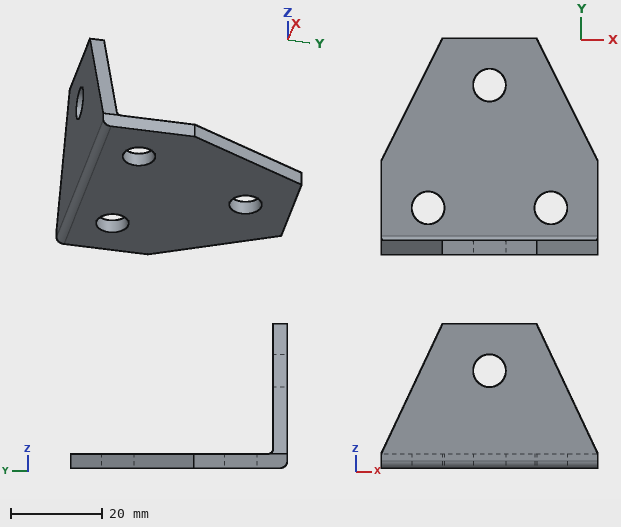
import cadquery as cq

width = 47.65
depth = 47.65
height = 31.75
thickness = 3.2

tip_width = 20.65
base_straight_length = 20.6
upright_taper_start = thickness

outer_bend_radius = 1.65
inner_bend_radius = 1.0

hole_diameter = 7.15
hole_edge_distance = 10.35
base_hole_spacing = 2 * (width / 2 - hole_edge_distance)


def tapered_outline(plane, length, straight_length):
    """Full-width plate outline narrowing to the tip, starting at the bend edge."""
    return cq.Workplane(plane).polyline([
        (-width / 2, 0),
        (width / 2, 0),
        (width / 2, straight_length),
        (tip_width / 2, length),
        (-tip_width / 2, length),
        (-width / 2, straight_length),
    ]).close()


bent_strip = (
    cq.Workplane("YZ")
    .polyline([
        (0, 0),
        (depth, 0),
        (depth, thickness),
        (thickness, thickness),
        (thickness, height),
        (0, height),
    ])
    .close()
    .extrude(width / 2, both=True)
)
inner_corner = cq.selectors.NearestToPointSelector((0, thickness, thickness))
bent_strip = bent_strip.edges(inner_corner).fillet(inner_bend_radius)
bent_strip = bent_strip.edges("|X and <Y and <Z").fillet(outer_bend_radius)

base_trim = tapered_outline("XY", depth, base_straight_length).extrude(height)
upright_trim = tapered_outline("XZ", height, upright_taper_start).extrude(-depth)
bracket = bent_strip.intersect(base_trim).intersect(upright_trim)

base_holes = (
    cq.Workplane("XY")
    .pushPoints([
        (-base_hole_spacing / 2, hole_edge_distance),
        (base_hole_spacing / 2, hole_edge_distance),
        (0, depth - hole_edge_distance),
    ])
    .circle(hole_diameter / 2)
    .extrude(thickness)
)

upright_hole = (
    cq.Workplane("XZ")
    .center(0, height - hole_edge_distance)
    .circle(hole_diameter / 2)
    .extrude(-thickness)
)

result = bracket.cut(base_holes).cut(upright_hole)